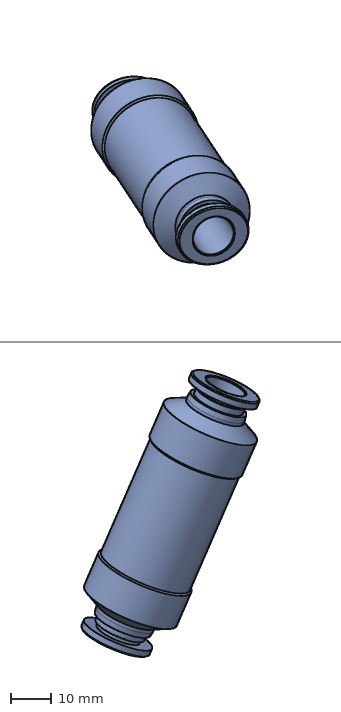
import cadquery as cq

LENGTH = 71.5
HALF_LENGTH = LENGTH / 2

BARREL_RADIUS = 12.0
CAP_RADIUS = 12.5
CAP_INNER_END = 19.7
CAP_CHAMFER_LENGTH = 0.4
CAP_SHOULDER = 10.0

SLEEVE_START = 3.15
COLLAR_START = 4.85
COLLAR_TAPER_END = 6.35
CONE_START = 7.2
COLLAR_RADIUS = 7.7
COLLAR_TIP_RADIUS = 7.5
SLEEVE_RADIUS = 6.6
NECK_RADIUS = 5.85

FLANGE_THICKNESS = 2.0
FLANGE_WIDTH = 18.4
FLANGE_HEIGHT = 16.15
FLANGE_CHAMFER = 0.35

SOCKET_RADIUS = 5.2
SOCKET_DEPTH = 18.6
SOCKET_CHAMFER = 0.3


def revolve_about_x(outline):
    """Full revolution of an (x, radius) outline about the X axis."""
    return cq.Workplane("XY").polyline(outline).close().revolve(360, (0, 0, 0), (1, 0, 0))


def make_body():
    """Barrel, caps and stepped necks, revolved about the X axis."""
    left_profile = [
        (0, NECK_RADIUS),
        (SLEEVE_START, NECK_RADIUS),
        (SLEEVE_START, SLEEVE_RADIUS),
        (COLLAR_START, SLEEVE_RADIUS),
        (COLLAR_START, COLLAR_TIP_RADIUS),
        (COLLAR_TAPER_END, COLLAR_RADIUS),
        (CONE_START, COLLAR_RADIUS),
        (CAP_SHOULDER, CAP_RADIUS),
        (CAP_INNER_END - CAP_CHAMFER_LENGTH, CAP_RADIUS),
        (CAP_INNER_END, BARREL_RADIUS),
    ]
    left = [(distance - HALF_LENGTH, radius) for distance, radius in left_profile]
    right = [(-x, radius) for x, radius in reversed(left)]
    outline = [(-HALF_LENGTH, 0)] + left + right + [(HALF_LENGTH, 0)]
    return revolve_about_x(outline)


def make_left_flange():
    """Oval flange with a chamfered outer rim at the -X end."""
    return (
        cq.Workplane("YZ", origin=(-HALF_LENGTH, 0, 0))
        .ellipse(FLANGE_WIDTH / 2, FLANGE_HEIGHT / 2)
        .extrude(FLANGE_THICKNESS)
        .faces("<X")
        .chamfer(FLANGE_CHAMFER)
    )


def make_left_socket():
    """Cutting tool for the blind socket with its chamfered mouth at the -X end."""
    mouth_radius = SOCKET_RADIUS + SOCKET_CHAMFER
    outline = [
        (-HALF_LENGTH, 0),
        (-HALF_LENGTH, mouth_radius),
        (-HALF_LENGTH + SOCKET_CHAMFER, SOCKET_RADIUS),
        (-HALF_LENGTH + SOCKET_DEPTH, SOCKET_RADIUS),
        (-HALF_LENGTH + SOCKET_DEPTH, 0),
    ]
    return revolve_about_x(outline)


def at_both_ends(left_shape):
    """A -X end shape together with its mirror image at the +X end."""
    return left_shape.union(left_shape.mirror("YZ"))


result = make_body().union(at_both_ends(make_left_flange())).cut(at_both_ends(make_left_socket()))